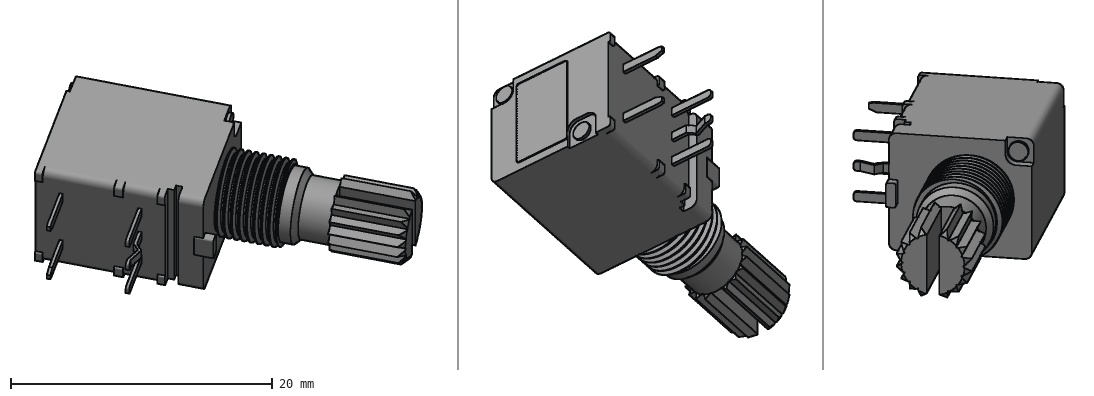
import cadquery as cq
import math


housing_length = 13.32
half_height = 4.8
top_y = 4.85
base_y = -6.3
corner_radius = 0.6

panel_thickness = 0.09
panel_width = 4.83
panel_height = 8.0
panel_corner = 0.23

thread_length = 5.05
thread_pitch = 0.6
thread_crest_radius = 3.46
thread_root_radius = 3.1
thread_crest_width = 0.09
thread_root_width = 0.55
thread_embed = 0.09
bushing_radius = 3.0
bushing_length = 6.02

total_length = 28.4
shaft_radius = 2.53
shaft_end_x = total_length - panel_thickness
knurl_length = 6.02
knurl_radius = 2.98
knurl_valley_radius = 2.35
knurl_teeth = 18
knurl_chamfer = 0.5
slot_width = 0.97

pocket_corner = 0.85
rivet_radius = 0.77
rivet_z = half_height - 1.02
upper_rivet_y = 3.7
lower_rivet_y = -3.65
upper_pocket_width = 2.07
upper_pocket_height = 1.95
lower_pocket_width = 2.67
lower_pocket_height = 2.39
rear_pocket_depth = 0.28
rear_rivet_height = 0.23
front_pocket_depth = 0.8
front_rivet_height = 0.28

groove_start_x = 10.3
groove_step_x = 10.82
groove_end_x = 11.33
groove_shallow_depth = 0.75
groove_full_depth = 1.25

tab_spans = [(0.0, 0.6), (6.28, 7.0), (9.7, groove_start_x)]
tab_projection = 0.17
tab_height = 1.0
tab_depth = 0.85
tab_outer_fillet = 0.23
tab_inner_fillet = 0.1

key_start_x = 12.6
key_end_x = 14.15
key_width = 2.0
key_thickness = 0.8
key_projection = 0.09
key_fillet = 0.17

pin_thickness = 0.28
pin_width = 0.77
pin_tip_y = -10.0
pin_embed = 0.28
pin_spacing = 2.5
rear_pin_x = 1.9
front_pin_x = 8.15
front_tip_fillet = 0.25
rear_tip_inner_length = 0.62
rear_tip_inner_bevel = 0.25
rear_tip_outer_length = 0.37
rear_tip_outer_bevel = 0.09
kink_start_y = -7.67
kink_peak_y = -8.26
kink_end_y = -9.45
kink_offset = 0.5


def box(x_range, y_range, z_range):
    """Box given by its limits along each axis."""
    size = [high - low for low, high in (x_range, y_range, z_range)]
    corner = (x_range[0], y_range[0], z_range[0])
    return cq.Workplane("XY").box(*size, centered=False).translate(corner)


def cylinder_x(radius, start_x, length, y=0.0, z=0.0):
    """Cylinder along X."""
    return cq.Workplane("YZ", origin=(start_x, y, z)).circle(radius).extrude(length)


def make_housing():
    body = box((0, housing_length), (base_y, top_y), (-half_height, half_height))
    body = body.edges("|X").fillet(corner_radius)
    panel = box(
        (-panel_thickness, 0),
        (-panel_width / 2, panel_width / 2),
        (-panel_height / 2, panel_height / 2),
    )
    return body.union(panel.edges("|X").fillet(panel_corner))


def upper_pocket(start_x, depth):
    """Pocket open at the +Y +Z corner, rounded at its inner corner."""
    pocket = box(
        (start_x, start_x + depth),
        (top_y - upper_pocket_width, top_y),
        (half_height - upper_pocket_height, half_height),
    )
    return pocket.edges("|X and <Y and <Z").fillet(pocket_corner)


def lower_pocket():
    """Pocket open at -Z in the rear face, rounded at both upper corners."""
    start_y = -panel_width / 2
    pocket = box(
        (0, rear_pocket_depth),
        (start_y - lower_pocket_width, start_y),
        (-half_height, lower_pocket_height - half_height),
    )
    return pocket.edges("|X and >Z").fillet(pocket_corner)


def add_riveted_corners(body):
    front_floor_x = housing_length - front_pocket_depth
    rear_rivet_x = rear_pocket_depth - rear_rivet_height
    body = body.cut(upper_pocket(0, rear_pocket_depth))
    body = body.cut(upper_pocket(front_floor_x, front_pocket_depth))
    body = body.cut(lower_pocket())
    body = body.union(cylinder_x(rivet_radius, rear_rivet_x, rear_rivet_height, upper_rivet_y, rivet_z))
    body = body.union(cylinder_x(rivet_radius, rear_rivet_x, rear_rivet_height, lower_rivet_y, -rivet_z))
    return body.union(cylinder_x(rivet_radius, front_floor_x, front_rivet_height, upper_rivet_y, rivet_z))


def make_groove():
    z_range = (-half_height, half_height)
    shallow = box((groove_start_x, groove_end_x), (base_y, base_y + groove_shallow_depth), z_range)
    deep = box((groove_step_x, groove_end_x), (base_y, base_y + groove_full_depth), z_range)
    return shallow.union(deep)


def make_tab(start_x, end_x):
    """Tab at the +Z edge of the pin side."""
    tab_tip_y = base_y - tab_projection
    tab = box((start_x, end_x), (tab_tip_y, tab_tip_y + tab_depth), (half_height - tab_height, half_height))
    tab = tab.edges("|X and <Y and >Z").fillet(tab_outer_fillet)
    return tab.edges("|X and <Y and <Z").fillet(tab_inner_fillet)


def make_key():
    key_low_y = base_y - key_projection
    key = box(
        (key_start_x, key_end_x),
        (key_low_y, key_low_y + key_thickness),
        (-key_width / 2, key_width / 2),
    )
    return key.edges("|X").fillet(key_fillet)


def make_thread():
    """Right-hand helical ridge on a root cylinder, both cut flat at the ends of the thread."""
    helix_radius = thread_root_radius - thread_embed
    helix_start_x = housing_length - thread_pitch
    path = cq.Wire.makeHelix(thread_pitch, thread_length + 2 * thread_pitch, helix_radius)
    ridge = (
        cq.Workplane("XZ")
        .moveTo(helix_radius, -thread_root_width / 2)
        .lineTo(thread_crest_radius, -thread_crest_width / 2)
        .lineTo(thread_crest_radius, thread_crest_width / 2)
        .lineTo(helix_radius, thread_root_width / 2)
        .close()
        .sweep(cq.Workplane(obj=path), isFrenet=True)
    )
    ridge = ridge.rotate((0, 0, 0), (1, 1, 1), 120).translate((helix_start_x, 0, 0))
    core = cylinder_x(
        thread_root_radius,
        helix_start_x - thread_pitch,
        thread_length + 4 * thread_pitch,
    )
    threaded_stretch = box(
        (housing_length, housing_length + thread_length),
        (-half_height, half_height),
        (-half_height, half_height),
    )
    return core.union(ridge).intersect(threaded_stretch)


def make_bushing_and_shaft():
    """Plain bushing end, its 45 degree shoulder and the smooth shaft, turned about X."""
    shoulder_start_x = housing_length + bushing_length
    shoulder_end_x = shoulder_start_x + bushing_radius - shaft_radius
    knurl_start_x = shaft_end_x - knurl_length
    outline = [
        (housing_length, 0),
        (housing_length, bushing_radius),
        (shoulder_start_x, bushing_radius),
        (shoulder_end_x, shaft_radius),
        (knurl_start_x, shaft_radius),
        (knurl_start_x, 0),
    ]
    return cq.Workplane("XY").polyline(outline).close().revolve(360, (0, 0, 0), (1, 0, 0))


def make_knurl():
    """Triangular teeth with a conical end chamfer, split by a slot along Z."""
    start_x = shaft_end_x - knurl_length
    half_step = math.pi / knurl_teeth
    outline = []
    for index in range(2 * knurl_teeth):
        radius = knurl_radius if index % 2 else knurl_valley_radius
        angle = index * half_step
        outline.append((radius * math.cos(angle), radius * math.sin(angle)))
    teeth = cq.Workplane("YZ", origin=(start_x, 0, 0)).polyline(outline).close().extrude(knurl_length)
    envelope = cylinder_x(knurl_radius, start_x, knurl_length).faces(">X").chamfer(knurl_chamfer)
    slot = box(
        (start_x, shaft_end_x),
        (-slot_width / 2, slot_width / 2),
        (-knurl_radius, knurl_radius),
    )
    return teeth.intersect(envelope).cut(slot)


def make_rear_pin():
    """Pin on the +Z side whose tip is bevelled more towards Z = 0."""
    root_y = base_y + pin_embed
    inner_z = pin_spacing - pin_width / 2
    outer_z = pin_spacing + pin_width / 2
    outline = [
        (root_y, inner_z),
        (root_y, outer_z),
        (pin_tip_y + rear_tip_outer_length, outer_z),
        (pin_tip_y, outer_z - rear_tip_outer_bevel),
        (pin_tip_y, inner_z + rear_tip_inner_bevel),
        (pin_tip_y + rear_tip_inner_length, inner_z),
    ]
    return cq.Workplane("YZ", origin=(rear_pin_x, 0, 0)).polyline(outline).close().extrude(pin_thickness)


def make_front_pin():
    """Straight pin with a rounded tip, at Z = pin_spacing."""
    pin = box(
        (front_pin_x, front_pin_x + pin_thickness),
        (pin_tip_y, base_y + pin_embed),
        (pin_spacing - pin_width / 2, pin_spacing + pin_width / 2),
    )
    return pin.edges("|X and <Y").fillet(front_tip_fillet)


def make_kinked_pin():
    """Middle pin with a sideways snap-in kink towards +X."""
    path = [
        (front_pin_x, base_y + pin_embed),
        (front_pin_x, kink_start_y),
        (front_pin_x + kink_offset, kink_peak_y),
        (front_pin_x, kink_end_y),
        (front_pin_x, pin_tip_y),
    ]
    far_side = [(x + pin_thickness, y) for x, y in reversed(path)]
    pin = (
        cq.Workplane("XY", origin=(0, 0, -pin_width / 2))
        .polyline(path + far_side)
        .close()
        .extrude(pin_width)
    )
    return pin.faces("<Y").edges("|X").fillet(front_tip_fillet)


result = add_riveted_corners(make_housing()).cut(make_groove())
for tab_start, tab_end in tab_spans:
    tab = make_tab(tab_start, tab_end)
    result = result.union(tab).union(tab.mirror("XY"))
result = result.union(make_key())
for pin in (make_rear_pin(), make_front_pin()):
    result = result.union(pin).union(pin.mirror("XY"))
result = result.union(make_kinked_pin())
result = result.union(make_bushing_and_shaft())
result = result.union(make_knurl())
result = result.union(make_thread())